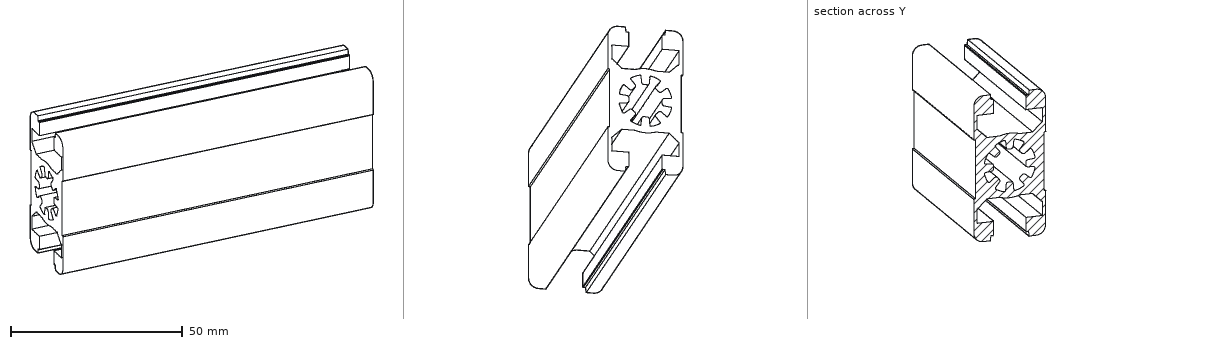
import cadquery as cq
import math

LENGTH = 100.0
WIDTH = 22.5
HEIGHT = 45.0
CORNER_RADIUS = 3.0

RECESS_DEPTH = 0.5
RECESS_HALF_HEIGHT = 9.1
RECESS_FLOOR_HALF_HEIGHT = 8.9

MOUTH_TOP_WIDTH = 12.1
MOUTH_BOTTOM_WIDTH = 11.6
MOUTH_DEPTH = 1.5
NECK_WIDTH = 10.0
NECK_CHAMFER = 0.2
LIP_THICKNESS = 6.0
CAVITY_WIDTH = 20.2
CAVITY_SIDE_DEPTH = 10.2
FLOOR_WIDTH = 14.2
FLOOR_DEPTH = 13.0
CROWN_RADIUS = 10.0

BORE_RADIUS = 8.0
TOOTH_COUNT = 8
TOOTH_TIP_DISTANCE = 5.0
TOOTH_TIP_WIDTH = 2.2
TOOTH_ROOT_WIDTH = 2.8
TOOTH_TIP_FILLET = 0.7
TOOTH_ROOT_FILLET = 0.3

section = cq.Workplane("XZ")


def extrude(outline):
    return outline.extrude(LENGTH / 2, both=True)


def rounded_bar():
    bar = extrude(section.rect(WIDTH, HEIGHT))
    return bar.edges("|Y").fillet(CORNER_RADIUS)


def side_recess(side):
    """Recess with sloping ends in the -X (side=-1) or +X (side=1) face."""
    outer_x = side * WIDTH / 2
    floor_x = side * (WIDTH / 2 - RECESS_DEPTH)
    return extrude(
        section.moveTo(outer_x, -RECESS_HALF_HEIGHT)
        .lineTo(floor_x, -RECESS_FLOOR_HALF_HEIGHT)
        .lineTo(floor_x, RECESS_FLOOR_HALF_HEIGHT)
        .lineTo(outer_x, RECESS_HALF_HEIGHT)
        .close()
    )


def t_slot():
    """T-slot opening upward, with an arched crown in its floor."""
    top = HEIGHT / 2
    mouth_top_x = MOUTH_TOP_WIDTH / 2
    mouth_bottom_x = MOUTH_BOTTOM_WIDTH / 2
    neck_x = NECK_WIDTH / 2
    cavity_x = CAVITY_WIDTH / 2
    floor_x = FLOOR_WIDTH / 2
    floor_z = top - FLOOR_DEPTH
    crown_x = math.sqrt(CROWN_RADIUS**2 - floor_z**2)
    right_side = [
        (crown_x, floor_z),
        (floor_x, floor_z),
        (cavity_x, top - CAVITY_SIDE_DEPTH),
        (cavity_x, top - LIP_THICKNESS),
        (neck_x, top - LIP_THICKNESS),
        (neck_x, top - MOUTH_DEPTH - NECK_CHAMFER),
        (neck_x + NECK_CHAMFER, top - MOUTH_DEPTH),
        (mouth_bottom_x, top - MOUTH_DEPTH),
        (mouth_top_x, top),
    ]
    left_side = [(-x, z) for x, z in reversed(right_side)]
    return extrude(
        section.polyline(right_side + left_side)
        .threePointArc((0, CROWN_RADIUS), right_side[0])
        .close()
    )


def bore_tooth():
    """One tapered tooth pointing from the top of the bore toward its centre."""
    root_x = TOOTH_ROOT_WIDTH / 2
    tip_x = TOOTH_TIP_WIDTH / 2
    tooth = extrude(
        section.polyline(
            [
                (-root_x, BORE_RADIUS),
                (-tip_x, TOOTH_TIP_DISTANCE),
                (tip_x, TOOTH_TIP_DISTANCE),
                (root_x, BORE_RADIUS),
            ]
        ).close()
    )
    return tooth.faces("<Z").edges("|Y").fillet(TOOTH_TIP_FILLET)


def is_tooth_root(edge):
    """Whether a lengthwise edge lies where a tooth meets the bore's outer wall."""
    centre = edge.Center()
    return math.hypot(centre.x, centre.z) > BORE_RADIUS - TOOTH_ROOT_FILLET


def toothed_bore():
    bore = extrude(section.circle(BORE_RADIUS))
    tooth = bore_tooth()
    for i in range(TOOTH_COUNT):
        bore = bore.cut(tooth.rotate((0, 0, 0), (0, 1, 0), i * 360 / TOOTH_COUNT))
    return bore.edges("|Y").filter(is_tooth_root).fillet(TOOTH_ROOT_FILLET)


result = rounded_bar()
for side in (-1, 1):
    result = result.cut(side_recess(side))

upper_slot = t_slot()
result = result.cut(upper_slot).cut(upper_slot.mirror("XY"))
result = result.cut(toothed_bore())